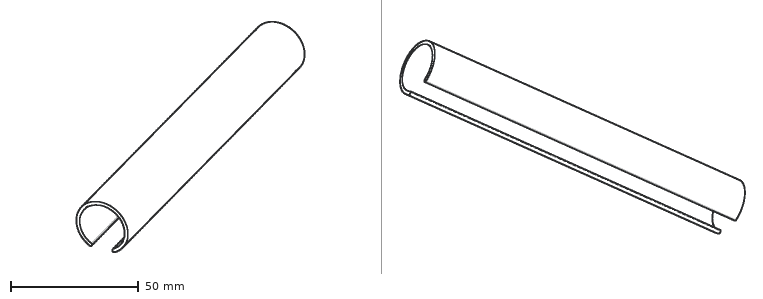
import cadquery as cq
import math

length = 152.4
outer_radius = 11.5
wall = 1.5
lowest_point = 10.0

inner_radius = outer_radius - wall
mid_radius = outer_radius - wall / 2
lip_radius = wall / 2

lip_angle = math.acos((lowest_point - lip_radius) / mid_radius)


def lip_point(radius, side, angle=lip_angle):
    """Point at the given radius on the +X (side=1) or -X (side=-1) lip."""
    return (side * radius * math.sin(angle), -radius * math.cos(angle))


def lip_tip(side):
    """Outermost point of the round on a lip, facing into the opening."""
    x, z = lip_point(mid_radius, side)
    return (
        x - side * lip_radius * math.cos(lip_angle),
        z - lip_radius * math.sin(lip_angle),
    )


section = (
    cq.Workplane("XZ", origin=(0, length / 2, 0))
    .moveTo(*lip_point(outer_radius, 1))
    .threePointArc((0, outer_radius), lip_point(outer_radius, -1))
    .threePointArc(lip_tip(-1), lip_point(inner_radius, -1))
    .threePointArc((0, inner_radius), lip_point(inner_radius, 1))
    .threePointArc(lip_tip(1), lip_point(outer_radius, 1))
    .close()
)

result = section.extrude(length)